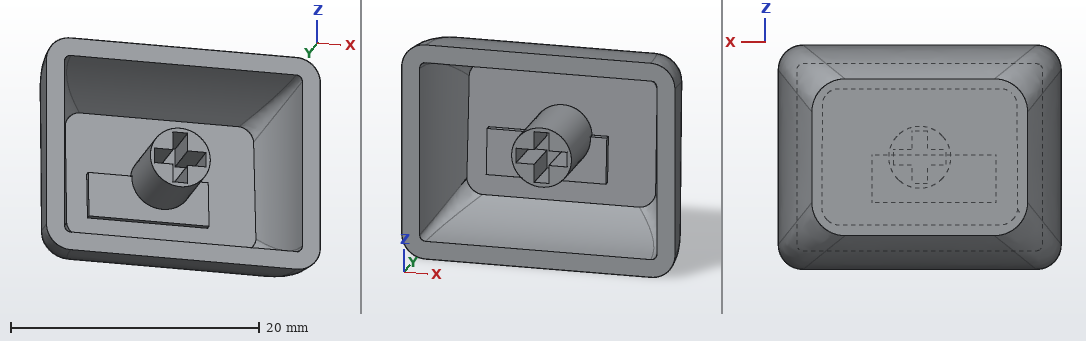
import cadquery as cq
import math

rim_width = 22.83
rim_height = 18.1
rim_corner_radius = 2.0
wall = 1.5

face_distance = 8.88
face_tilt = 4.0
face_inset = 2.72
face_corner_growth = 0.66
section_fractions = (0, 0.5, 1)

stem_diameter = 5.0
stem_recess = 1.0
stem_overlap = 0.45
cross_length = 4.27
cross_width = 1.23
cross_depth = 4.0

plate_width = 10.0
plate_height = 3.81
plate_thickness = 0.5
plate_center_x = -1.15
plate_top_z = 0.18

shell_tolerance = 0.01

tilt_angle = math.radians(face_tilt)
floor_distance = face_distance - wall / math.cos(tilt_angle)


def floor_y(z):
    """Y of the tilted cavity floor at height z."""
    return floor_distance + z * math.tan(tilt_angle)


def cap_section(fraction):
    """Outer outline at a fraction of the way from rim to touch face; the sides curve in as a parabola."""
    curve = fraction**2
    width = rim_width - 2 * face_inset * curve
    height = rim_height - 2 * face_inset * curve
    radius = rim_corner_radius + face_corner_growth * curve
    angle = tilt_angle * fraction
    plane = cq.Plane(
        origin=(0, face_distance * fraction, 0),
        xDir=(1, 0, 0),
        normal=(0, -math.cos(angle), math.sin(angle)),
    )
    outline = cq.Sketch().rect(width, height).vertices().fillet(radius)
    return outline.reset().faces().val().outerWire().moved(plane.location)


def make_shell():
    """Hollow cap of even wall thickness, open at the rim."""
    solid = cq.Solid.makeLoft([cap_section(fraction) for fraction in section_fractions])
    rim_face = cq.Workplane(solid).faces("<Y").val()
    return cq.Workplane(solid.shell([rim_face], -wall, tolerance=shell_tolerance))


def make_stem():
    """Round stem that runs a little way into the floor of the cap."""
    stem_length = floor_distance + stem_overlap - stem_recess
    stem_start = cq.Workplane("XZ", origin=(0, stem_recess, 0))
    stem = stem_start.circle(stem_diameter / 2).extrude(-stem_length)
    level_arm = stem_start.rect(cross_length, cross_width).extrude(-cross_depth)
    upright_arm = stem_start.rect(cross_width, cross_length).extrude(-cross_depth)
    return stem.cut(level_arm).cut(upright_arm)


def make_legend_plate():
    """Plate with both faces parallel to the floor and its edges parallel to Y."""
    bottom_z = plate_top_z - plate_height
    depth_along_y = plate_thickness / math.cos(tilt_angle)
    return (
        cq.Workplane("YZ", origin=(plate_center_x, 0, 0))
        .moveTo(floor_y(bottom_z), bottom_z)
        .lineTo(floor_y(plate_top_z), plate_top_z)
        .lineTo(floor_y(plate_top_z) - depth_along_y, plate_top_z)
        .lineTo(floor_y(bottom_z) - depth_along_y, bottom_z)
        .close()
        .extrude(plate_width / 2, both=True)
    )


legend_plate = make_legend_plate()

keycap = make_shell().union(make_stem()).cut(legend_plate)

result = cq.Compound.makeCompound([keycap.solids().val(), legend_plate.val()])